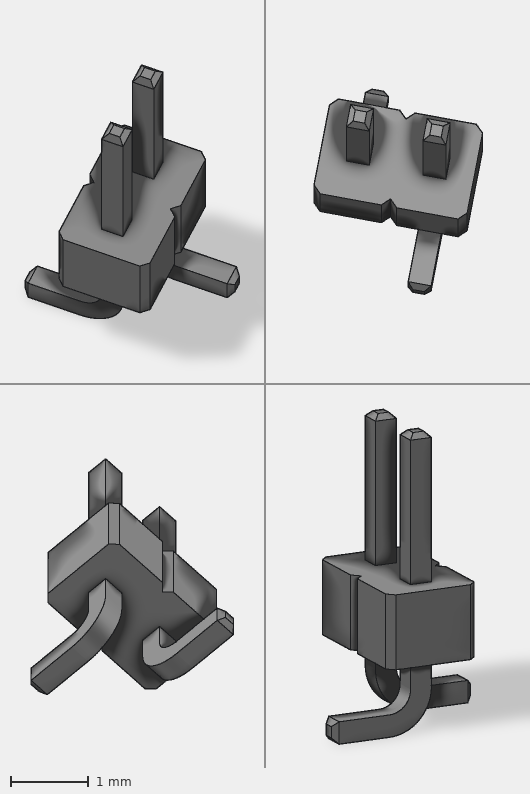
import cadquery as cq

total_height = 4.0
foot_span = 2.5
pitch = 1.0
pin_width = 0.3
pin_tip_chamfer = pin_width / 4
bend_inner_radius = pin_width
bend_outer_radius = bend_inner_radius + pin_width

body_width = 1.27
body_height = 1.0
body_bottom = 1.0
corner_chamfer = 0.1
pin_count = 2


def make_body_cell(y):
    """One pitch-long block; its chamfered corners form the notch beside its neighbour."""
    return (
        cq.Workplane("XY", origin=(0, y, body_bottom))
        .rect(body_width, pitch)
        .extrude(body_height)
        .edges("|Z")
        .chamfer(corner_chamfer)
    )


def make_pin():
    """Square pin centred on Y = 0, bent so that its foot points toward -X."""
    half_width = pin_width / 2
    foot_end = -foot_span / 2
    bend_center_x = -half_width - bend_inner_radius
    bend_center_z = bend_outer_radius
    diagonal = 0.5 ** 0.5
    outer_mid = (
        bend_center_x + bend_outer_radius * diagonal,
        bend_center_z - bend_outer_radius * diagonal,
    )
    inner_mid = (
        bend_center_x + bend_inner_radius * diagonal,
        bend_center_z - bend_inner_radius * diagonal,
    )
    pin = (
        cq.Workplane("XZ")
        .moveTo(foot_end, 0)
        .lineTo(bend_center_x, 0)
        .threePointArc(outer_mid, (half_width, bend_center_z))
        .lineTo(half_width, total_height)
        .lineTo(-half_width, total_height)
        .lineTo(-half_width, bend_center_z)
        .threePointArc(inner_mid, (bend_center_x, pin_width))
        .lineTo(foot_end, pin_width)
        .close()
        .extrude(half_width, both=True)
    )
    pin = pin.faces(">Z").edges().chamfer(pin_tip_chamfer)
    return pin.faces("<X").edges().chamfer(pin_tip_chamfer)


pin = make_pin()
result = cq.Workplane("XY")
for index in range(pin_count):
    y = (index - (pin_count - 1) / 2) * pitch
    turned_pin = pin.rotate((0, 0, 0), (0, 0, 1), 180 * index)
    result = result.union(make_body_cell(y)).union(turned_pin.translate((0, y, 0)))
result = result.clean()